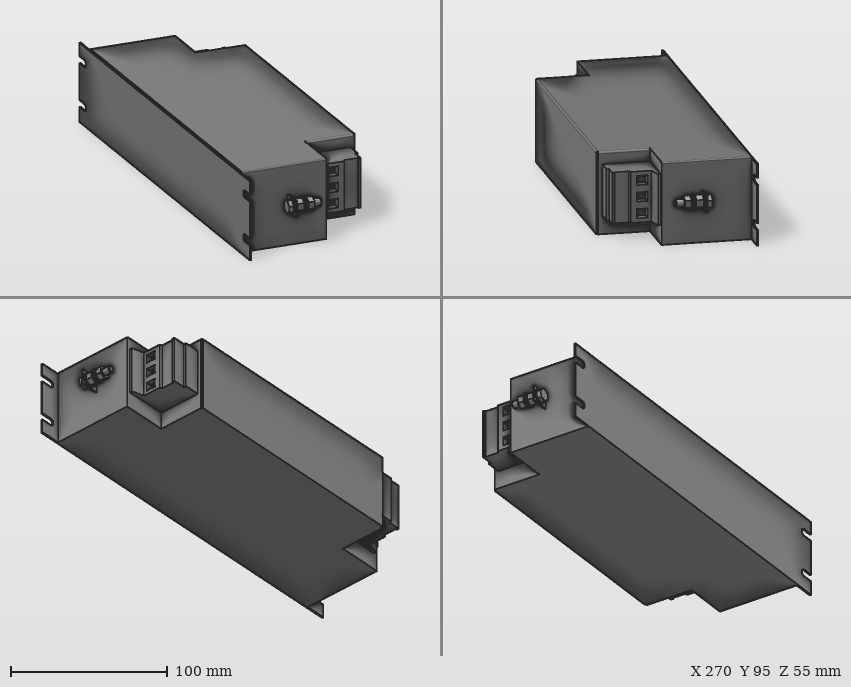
import cadquery as cq

plate_length = 270.0
plate_height = 54.0
plate_thickness = 1.0
slot_width = 5.0
slot_depth = 10.5
slot_spacing = 30.0
slot_mid_z = 27.5

overall_depth = 95.0
overall_height = 55.0
body_length = 240.0
step_y = 60.0
rear_length = 174.5
end_bend_radius = 0.8
rear_bend_radius = 1.2
relief_length = 1.2
relief_depth = 1.0

block_bottom_z = 12.6
block_height = 33.9
block_rear_y = 91.2
cap_x = 98.7
cap_y = 89.5
hook_x = 107.8
hook_y = 87.9
upper_face_x = 106.8
ledge_inner_y = 78.4
ledge_outer_y = 77.5
lower_face_x = 108.5
ramp_top_y = 64.2
ramp_bottom_y = 61.7
ramp_end_x = 117.3

entry_width = 6.9
entry_height = 6.2
entry_depth = 6.0
entry_pitch = 11.0
entry_count = 3
entry_y = 70.0
entry_mid_z = block_bottom_z + block_height / 2

stud_x = 127.1
stud_z = 29.3
stud_diameter = 5.0
stud_tip_y = 52.8
stud_chamfer = 0.5
hex_across_corners = 9.24
head_turn = 12.0
head_start_y = 29.2
head_end_y = 32.4
lug_y = 32.9
lug_thickness = 1.0
lug_width = 11.0
lug_outer_x = 133.1
flat_washer_diameter = 10.0
lock_washer_diameter = 9.6
spring_washer_diameter = 8.0
lock_nut_start_y = 34.8
lock_nut_end_y = 39.9
lock_washer_end_y = 40.8
flat_washer_end_y = 41.7
spring_washer_end_y = 42.9
top_nut_end_y = 47.2


def box_between(x_range, y_range, z_range):
    """Box given by its lower and upper limit along each axis."""
    limits = (x_range, y_range, z_range)
    sizes = [upper - lower for lower, upper in limits]
    corner = tuple(lower for lower, _ in limits)
    return cq.Workplane("XY").box(*sizes, centered=False).translate(corner)


def make_plate():
    """Plate with two open slots at each end."""
    half = plate_length / 2
    plate = box_between((-half, half), (0, plate_thickness), (0, plate_height))
    round_x = half - slot_depth + slot_width / 2
    for side in (-1, 1):
        for offset in (-slot_spacing / 2, slot_spacing / 2):
            slot = (
                cq.Workplane("XZ")
                .center(side * (round_x + slot_depth), slot_mid_z + offset)
                .slot2D(2 * slot_depth + slot_width, slot_width)
                .extrude(-plate_thickness)
            )
            plate = plate.cut(slot)
    return plate


def make_enclosure():
    """Stepped box with bent top edges and open corners at the rear."""
    half_body = body_length / 2
    half_rear = rear_length / 2
    outline = [
        (-half_body, plate_thickness),
        (half_body, plate_thickness),
        (half_body, step_y),
        (half_rear, step_y),
        (half_rear, overall_depth),
        (-half_rear, overall_depth),
        (-half_rear, step_y),
        (-half_body, step_y),
    ]
    enclosure = cq.Workplane("XY").polyline(outline).close().extrude(overall_height)
    rear_ends = enclosure.faces(">Z").edges("|Y").edges("not (<X or >X)")
    rear_edge = enclosure.faces(">Z").edges(">Y")
    enclosure = rear_ends.add(rear_edge).fillet(rear_bend_radius)
    enclosure = enclosure.faces(">Z").edges("<X or >X").fillet(end_bend_radius)
    for side in (-1, 1):
        relief = (
            cq.Workplane("XY")
            .center(side * half_rear, overall_depth)
            .rect(2 * relief_length, 2 * relief_depth)
            .extrude(overall_height)
        )
        enclosure = enclosure.cut(relief)
    return enclosure


def make_terminal_block():
    """Terminal block on the -X end, with a row of wire entry pockets."""
    inner_x = rear_length / 2
    profile = [
        (-inner_x, step_y),
        (-inner_x, block_rear_y),
        (-cap_x, block_rear_y),
        (-cap_x, cap_y),
        (-hook_x, cap_y),
        (-hook_x, hook_y),
        (-upper_face_x, hook_y),
        (-upper_face_x, ledge_inner_y),
        (-lower_face_x, ledge_outer_y),
        (-lower_face_x, ramp_top_y),
        (-ramp_end_x, ramp_bottom_y),
        (-ramp_end_x, step_y),
    ]
    block = (
        cq.Workplane("XY", origin=(0, 0, block_bottom_z))
        .polyline(profile)
        .close()
        .extrude(block_height)
    )
    entries = (
        cq.Workplane("YZ", origin=(-lower_face_x, entry_y, entry_mid_z))
        .rarray(1, entry_pitch, 1, entry_count)
        .rect(entry_width, entry_height)
        .extrude(entry_depth)
    )
    return block.cut(entries)


def stud_section(start_y):
    """Sketch plane across the -X earth stud, extruding toward +Y."""
    return cq.Workplane("ZX", origin=(-stud_x, start_y, stud_z))


def disc(diameter, start_y, end_y):
    return stud_section(start_y).circle(diameter / 2).extrude(end_y - start_y)


def hexagon(start_y, end_y, turn=0.0):
    """Hexagon with a corner toward +Z, turned toward -X by the given angle."""
    return (
        stud_section(start_y)
        .transformed(rotate=(0, 0, -turn))
        .polygon(6, hex_across_corners)
        .extrude(end_y - start_y)
    )


def make_earth_stud():
    """Bolt, nuts, washers and lug on the -X end."""
    lug_end_y = lug_y + lug_thickness
    shank = disc(stud_diameter, head_end_y, stud_tip_y).faces(">Y").chamfer(stud_chamfer)
    lug = box_between(
        (-lug_outer_x, -body_length / 2),
        (lug_y, lug_end_y),
        (stud_z - lug_width / 2, stud_z + lug_width / 2),
    )
    return (
        shank.union(hexagon(head_start_y, head_end_y, head_turn))
        .union(disc(flat_washer_diameter, head_end_y, lug_y))
        .union(lug)
        .union(disc(flat_washer_diameter, lug_end_y, lock_nut_start_y))
        .union(hexagon(lock_nut_start_y, lock_nut_end_y))
        .union(disc(lock_washer_diameter, lock_nut_end_y, lock_washer_end_y))
        .union(disc(flat_washer_diameter, lock_washer_end_y, flat_washer_end_y))
        .union(disc(spring_washer_diameter, flat_washer_end_y, spring_washer_end_y))
        .union(hexagon(spring_washer_end_y, top_nut_end_y))
    )


result = make_plate().union(make_enclosure())
for fitting in (make_terminal_block(), make_earth_stud()):
    result = result.union(fitting).union(fitting.mirror("YZ"))